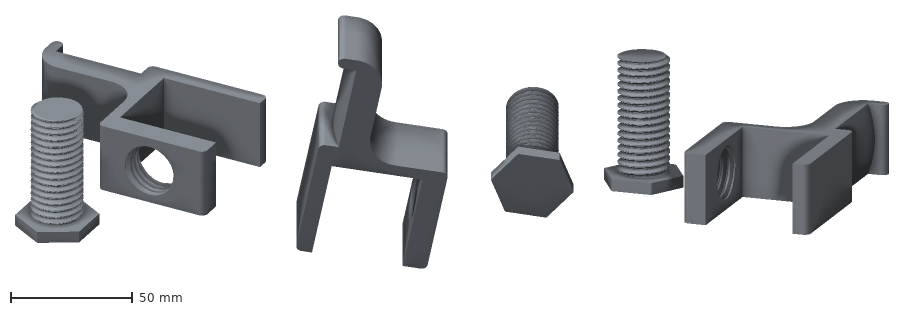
import cadquery as cq
import math

HOLDER_LENGTH = 100.0
HOLDER_DEPTH = 55.0
HOLDER_HEIGHT = 30.0
CORNER_RADIUS = 2.5

WEB_X = HOLDER_LENGTH / 2
WEB_THICKNESS = 5.0
FRONT_ARM_THICKNESS = 10.0
BACK_ARM_THICKNESS = 7.0

LIP_THICKNESS = 5.0
SEAT_END_X = 45.0
SEAT_DROP = 8.0
SEAT_CROWN = 3.0
HOOK_DEPTH = 20.0
BEND_RADIUS = 12.5

PITCH = 3.0
CREST_FLAT = PITCH / 8
ROOT_FLAT = PITCH / 4
FLANK_POINTS = 12
BOLT_MAJOR_DIAMETER = 21.8
BOLT_MINOR_DIAMETER = 18.4
BOLT_CREST_ANGLE = -30.0
HOLE_MAJOR_DIAMETER = 24.4
HOLE_MINOR_DIAMETER = 21.0
HOLE_GROOVE_ANGLE = 195.0

OVERALL_DEPTH = 107.3
BOLT_HEIGHT = 55.0
HEAD_SIDES = 6
HEAD_THICKNESS = 5.0
HEAD_ACROSS_CORNERS = 34.7
BOLT_X = WEB_X
BOLT_Y = HOLDER_DEPTH - OVERALL_DEPTH + HEAD_ACROSS_CORNERS / 2


def thread_rod(major_diameter, minor_diameter, length, start_angle):
    """Right-handed threaded rod along +Z whose crest points at start_angle (degrees) at Z = 0.

    Every level cut of a single-start thread is the same outline, turned once per pitch:
    a crest arc, a root arc and two spirals for the flanks.
    """
    major = major_diameter / 2
    minor = minor_diameter / 2
    crest_half = math.pi * CREST_FLAT / PITCH
    root_half = math.pi * ROOT_FLAT / PITCH
    flank_sweep = math.pi - crest_half - root_half

    def polar(radius, angle):
        return (radius * math.cos(angle), radius * math.sin(angle))

    def falling_flank(t):
        return polar(major + (minor - major) * t, crest_half + flank_sweep * t)

    def rising_flank(t):
        return polar(minor + (major - minor) * t, math.pi + root_half + flank_sweep * t)

    return (
        cq.Workplane("XY")
        .moveTo(*polar(major, -crest_half))
        .threePointArc(polar(major, 0), polar(major, crest_half))
        .parametricCurve(falling_flank, N=FLANK_POINTS, makeWire=False)
        .threePointArc(polar(minor, math.pi), polar(minor, math.pi + root_half))
        .parametricCurve(rising_flank, N=FLANK_POINTS, makeWire=False)
        .wire()
        .twistExtrude(length, 360 * length / PITCH)
        .rotate((0, 0, 0), (0, 0, 1), start_angle)
    )


def holder_blank():
    """The holder's outline extruded over its full height, with its outer corners rounded."""
    lip_radius = LIP_THICKNESS / 2
    seat_y = HOLDER_DEPTH - SEAT_DROP
    hook_front_y = HOLDER_DEPTH - HOOK_DEPTH
    bend_mid = BEND_RADIUS * (1 - math.sqrt(0.5))
    arm_gap_x = WEB_X + WEB_THICKNESS
    back_arm_y = HOLDER_DEPTH - BACK_ARM_THICKNESS

    outline = (
        cq.Workplane("XY")
        .moveTo(0, HOLDER_DEPTH - lip_radius)
        .lineTo(0, hook_front_y + BEND_RADIUS)
        .threePointArc((bend_mid, hook_front_y + bend_mid), (BEND_RADIUS, hook_front_y))
        .lineTo(WEB_X - BEND_RADIUS, hook_front_y)
        .threePointArc((WEB_X - bend_mid, hook_front_y - bend_mid), (WEB_X, hook_front_y - BEND_RADIUS))
        .lineTo(WEB_X, 0)
        .lineTo(HOLDER_LENGTH, 0)
        .lineTo(HOLDER_LENGTH, FRONT_ARM_THICKNESS)
        .lineTo(arm_gap_x, FRONT_ARM_THICKNESS)
        .lineTo(arm_gap_x, back_arm_y)
        .lineTo(HOLDER_LENGTH, back_arm_y)
        .lineTo(HOLDER_LENGTH, HOLDER_DEPTH)
        .lineTo(SEAT_END_X, HOLDER_DEPTH)
        .lineTo(SEAT_END_X, seat_y)
        .lineTo(LIP_THICKNESS, seat_y)
        .lineTo(LIP_THICKNESS, HOLDER_DEPTH - lip_radius)
        .threePointArc((lip_radius, HOLDER_DEPTH), (0, HOLDER_DEPTH - lip_radius))
        .close()
    )
    outer_corners = (
        (WEB_X, 0),
        (HOLDER_LENGTH, 0),
        (HOLDER_LENGTH, HOLDER_DEPTH),
        (SEAT_END_X, HOLDER_DEPTH),
    )
    blank = outline.extrude(HOLDER_HEIGHT)
    for x, y in outer_corners:
        corner = cq.selectors.NearestToPointSelector((x, y, HOLDER_HEIGHT / 2))
        blank = blank.edges("|Z").edges(corner).fillet(CORNER_RADIUS)
    return blank


def seat_crown():
    """The bulge of the hook seat: a circular segment across the height, running along X."""
    seat_y = HOLDER_DEPTH - SEAT_DROP
    return (
        cq.Workplane("YZ", origin=(LIP_THICKNESS, 0, 0))
        .moveTo(seat_y, 0)
        .threePointArc((seat_y + SEAT_CROWN, HOLDER_HEIGHT / 2), (seat_y, HOLDER_HEIGHT))
        .close()
        .extrude(SEAT_END_X - LIP_THICKNESS)
    )


def threaded_hole():
    """The threaded hole's void, through the middle of the front arm along Y."""
    hole_x = (WEB_X + HOLDER_LENGTH) / 2
    return (
        thread_rod(HOLE_MAJOR_DIAMETER, HOLE_MINOR_DIAMETER, FRONT_ARM_THICKNESS, -HOLE_GROOVE_ANGLE)
        .rotate((0, 0, 0), (1, 0, 0), -90)
        .translate((hole_x, 0, HOLDER_HEIGHT / 2))
    )


def make_holder():
    return holder_blank().union(seat_crown()).cut(threaded_hole())


def make_bolt():
    """A hexagonal head with flats facing +X and -X, and a shank threaded to its free end."""
    shank_length = BOLT_HEIGHT - HEAD_THICKNESS
    base_angle = BOLT_CREST_ANGLE - 360 * shank_length / PITCH
    shank = thread_rod(BOLT_MAJOR_DIAMETER, BOLT_MINOR_DIAMETER, shank_length, base_angle)
    head = (
        cq.Workplane("XY")
        .polygon(HEAD_SIDES, HEAD_ACROSS_CORNERS)
        .extrude(HEAD_THICKNESS)
        .rotate((0, 0, 0), (0, 0, 1), 180 / HEAD_SIDES)
    )
    return head.union(shank.translate((0, 0, HEAD_THICKNESS))).translate((BOLT_X, BOLT_Y, 0))


holder = make_holder()
bolt = make_bolt()

result = cq.Compound.makeCompound([holder.val(), bolt.val()])